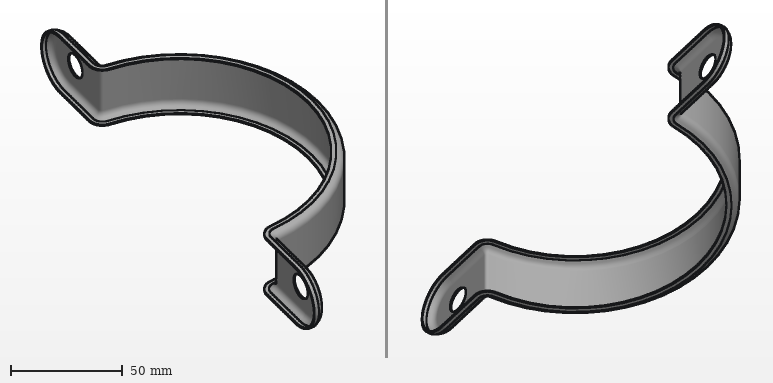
import cadquery as cq
import math


total_length = 230.5
total_depth = 75.0
strip_width = 32.0
ring_outer_radius = 74.0
section_depth = 6.0
sheet_thickness = 0.7
lip_edge_height = 2.3
lip_angle = 60
lip_bend_radius = 4.0
foot_bend_radius = 1.0
hole_diameter = 12.0
hole_spacing = 190.0

half_width = strip_width / 2
end_centre_x = total_length / 2 - half_width
ring_inner_radius = ring_outer_radius - section_depth
ring_centre_y = total_depth - ring_outer_radius

foot_bend_y = section_depth + foot_bend_radius
foot_bend_reach = ring_outer_radius + foot_bend_radius
ring_start_angle = math.degrees(math.asin((foot_bend_y - ring_centre_y) / foot_bend_reach))
foot_bend_x = foot_bend_reach * math.cos(math.radians(ring_start_angle))
foot_bend_angle = 90 - ring_start_angle


def half_section(plane):
    """Half of the section above Z = 0, on a plane whose local x is the depth and local y is Z.

    A flat web at the back bends forward into a sloped lip, which ends in a straight rim.
    """
    lip_slope = math.tan(math.radians(lip_angle))
    bend_centre_depth = section_depth - lip_bend_radius
    inner_bend_radius = lip_bend_radius - sheet_thickness

    lip_turn = math.radians(lip_angle)
    slope_start_depth = bend_centre_depth + lip_bend_radius * math.cos(lip_turn)
    slope_width = (slope_start_depth - lip_edge_height) / lip_slope
    bend_centre_z = half_width - slope_width - lip_bend_radius * math.sin(lip_turn)

    def bend_point(radius, angle):
        turn = math.radians(angle)
        return (bend_centre_depth + radius * math.cos(turn), bend_centre_z + radius * math.sin(turn))

    rim_inner_z = half_width - sheet_thickness
    inner_slope_depth, inner_slope_z = bend_point(inner_bend_radius, lip_angle)
    rim_inner_depth = inner_slope_depth - (rim_inner_z - inner_slope_z) * lip_slope

    return (
        cq.Workplane(plane)
        .moveTo(section_depth, 0)
        .lineTo(*bend_point(lip_bend_radius, 0))
        .threePointArc(bend_point(lip_bend_radius, lip_angle / 2), bend_point(lip_bend_radius, lip_angle))
        .lineTo(lip_edge_height, half_width)
        .lineTo(0, half_width)
        .lineTo(0, rim_inner_z)
        .lineTo(rim_inner_depth, rim_inner_z)
        .lineTo(inner_slope_depth, inner_slope_z)
        .threePointArc(bend_point(inner_bend_radius, lip_angle / 2), bend_point(inner_bend_radius, 0))
        .lineTo(section_depth - sheet_thickness, 0)
        .close()
    )


def foot_plane(x):
    """Section plane across a foot at x, with depth along +Y."""
    return cq.Plane(origin=(x, 0, 0), xDir=(0, 1, 0), normal=(1, 0, 0))


def ring_upper():
    """Upper half of the ring, revolved about its axis from the right bend to the left one."""
    turn = math.radians(ring_start_angle)
    outward_x = math.cos(turn)
    outward_y = math.sin(turn)
    plane = cq.Plane(
        origin=(ring_inner_radius * outward_x, ring_centre_y + ring_inner_radius * outward_y, 0),
        xDir=(outward_x, outward_y, 0),
        normal=(outward_y, -outward_x, 0),
    )
    sweep = 180 - 2 * ring_start_angle
    return half_section(plane).revolve(sweep, (-ring_inner_radius, 0), (-ring_inner_radius, 1))


def foot_bend_upper():
    """Upper half of the bend from the right foot into the ring, about an axis behind the foot."""
    sketch = half_section(foot_plane(foot_bend_x))
    return sketch.revolve(foot_bend_angle, (foot_bend_y, 2.3), (foot_bend_y, 0))


def foot_upper():
    """Upper half of the straight stretch of the right foot."""
    return half_section(foot_plane(foot_bend_x)).extrude(end_centre_x - foot_bend_x)


def foot_end():
    """Whole round end of the right foot, revolved about the end centre."""
    return half_section(foot_plane(end_centre_x)).revolve(180, (0, 0), (1, 0))


def screw_holes():
    """Cutters for the screw hole through each foot."""
    return (
        cq.Workplane("XZ")
        .pushPoints([(-hole_spacing / 2, 0), (hole_spacing / 2, 0)])
        .circle(hole_diameter / 2)
        .extrude(section_depth, both=True)
    )


def with_mirror(body, plane):
    """Body joined with its mirror image in the named plane."""
    return body.union(body.mirror(plane))


ring = with_mirror(ring_upper(), "XY")
right_foot = with_mirror(foot_bend_upper().union(foot_upper()), "XY").union(foot_end())
feet = [right_foot, right_foot.mirror("YZ")]
clamp = ring.union(feet[0]).union(feet[1]).clean()
result = clamp.cut(screw_holes())